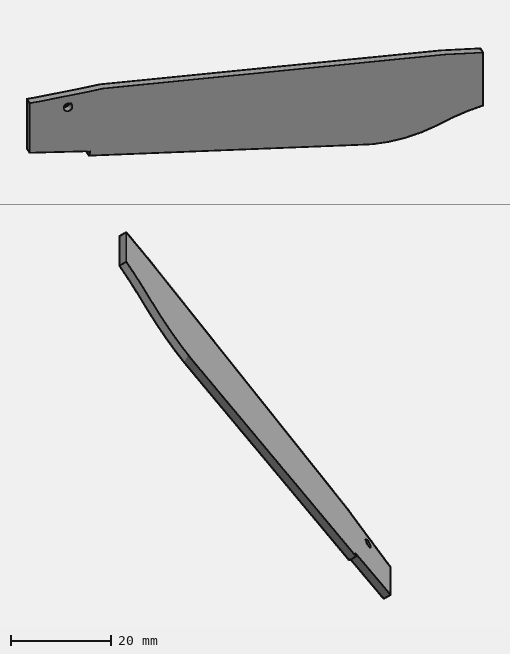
import cadquery as cq
import math

overall_y = 96.8
thickness = 1.6
turn_angle = 5.0
turn = math.radians(turn_angle)
length = (overall_y - thickness * math.sin(turn)) / math.cos(turn)
height = 28.1

root_top = (0, height)
root_bottom = (0, 16.1)
top_root_break = (1.9, 28.0)
top_flat_start = (12.1, 27.8)
top_flat_end = (15.7, 27.8)
top_tip_break = (88.6, 18.2)
tip_top = (length, 16.6)
tip_bottom = (length, 3.9)
hollow_middle = (91.7, 2.9)
hollow_end = (87.1, 1.45)
belly_middle = (77.9, 0)
belly_start = (69.8, 1.0)
notch_lower = (12.7, 12.3)
notch_upper = (13.0, 13.2)
notch_runout = (11.8, 13.5)

hole_diameter = 1.8
hole_center = (8.2, 25.1)


def make_blade():
    """Extrude the blade outline in the YZ plane, with the root at Y = 0."""
    return (
        cq.Workplane("YZ")
        .moveTo(*root_top)
        .lineTo(*top_root_break)
        .lineTo(*top_flat_start)
        .lineTo(*top_flat_end)
        .lineTo(*top_tip_break)
        .lineTo(*tip_top)
        .lineTo(*tip_bottom)
        .threePointArc(hollow_middle, hollow_end)
        .threePointArc(belly_middle, belly_start)
        .lineTo(*notch_lower)
        .lineTo(*notch_upper)
        .lineTo(*notch_runout)
        .lineTo(*root_bottom)
        .close()
        .extrude(thickness)
    )


def make_hole():
    """Cylinder that pierces the full blade thickness."""
    return cq.Workplane("YZ").center(*hole_center).circle(hole_diameter / 2).extrude(thickness)


blade = make_blade().cut(make_hole())
turned_blade = blade.rotate((0, 0, 0), (0, 0, 1), turn_angle)

box_center = turned_blade.val().BoundingBox().center
result = turned_blade.translate((-box_center.x, -box_center.y, -height / 2))